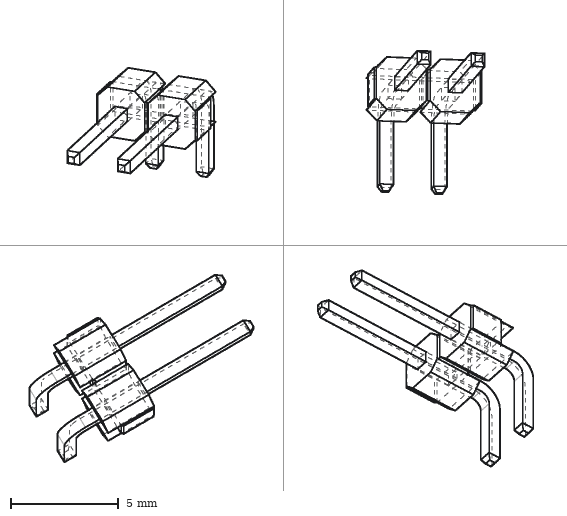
import cadquery as cq


pin_count = 2
pitch = 2.54
housing_size = 2.5
corner_chamfer = 0.5
joint_bevel = 0.085
rear_slot_depth = 0.7

pin_width = 0.64
tip_width = pin_width / 2
tip_length = 0.275
bend_inner_radius = 0.5
front_reach = 6.0
rear_reach = 1.85
drop = 3.0

half_size = housing_size / 2
half_pin = pin_width / 2
octagon_width = pitch - 2 * joint_bevel
waist_height = housing_size - 2 * corner_chamfer
waist_rear = half_size - rear_slot_depth

front_end = -half_size - front_reach
rear_end = half_size + rear_reach
bottom_end = -half_size - drop
leg_y = rear_end - half_pin

pin_positions = [(i - (pin_count - 1) / 2) * pitch for i in range(pin_count)]


def octagon_block(x):
    """Octagonal prism around one pin."""
    return (
        cq.Workplane("XY")
        .box(octagon_width, housing_size, housing_size)
        .edges("|Y")
        .chamfer(corner_chamfer)
        .translate((x, 0, 0))
    )


def waist_block(x):
    """Full-pitch block that joins a position to its neighbours, bevelled at its front and rear."""
    half_octagon = octagon_width / 2
    half_pitch = pitch / 2
    return (
        cq.Workplane("XY")
        .workplane(offset=-waist_height / 2)
        .moveTo(-half_octagon, -half_size)
        .lineTo(half_octagon, -half_size)
        .lineTo(half_pitch, -half_size + joint_bevel)
        .lineTo(half_pitch, waist_rear - joint_bevel)
        .lineTo(half_octagon, waist_rear)
        .lineTo(-half_octagon, waist_rear)
        .lineTo(-half_pitch, waist_rear - joint_bevel)
        .lineTo(-half_pitch, -half_size + joint_bevel)
        .close()
        .extrude(waist_height)
        .translate((x, 0, 0))
    )


def rear_slot():
    """Slot across the whole rear face, as high as the waist."""
    return (
        cq.Workplane("XY")
        .box(pin_count * pitch, rear_slot_depth, waist_height)
        .translate((0, half_size - rear_slot_depth / 2, 0))
    )


def pin_hole(x):
    """Square through hole that the pin fills."""
    return cq.Workplane("XY").box(pin_width, housing_size, pin_width).translate((x, 0, 0))


def make_housing():
    body = octagon_block(pin_positions[0])
    for x in pin_positions[1:]:
        body = body.union(octagon_block(x))
    body = body.cut(rear_slot())
    for x in pin_positions:
        body = body.union(waist_block(x))
    for x in pin_positions:
        body = body.cut(pin_hole(x))
    return body


def tapered_tip(plane):
    """Truncated pyramid that grows from the end of a pin along the plane normal."""
    return (
        cq.Workplane(plane)
        .rect(pin_width, pin_width)
        .workplane(offset=tip_length)
        .rect(tip_width, tip_width)
        .loft(ruled=True)
    )


def make_pin(x):
    """Square wire running along Y, bent down at the rear, with a tapered tip at each end."""
    bend_radius = bend_inner_radius + half_pin
    shank_start = front_end + tip_length
    leg_end = bottom_end + tip_length
    path = (
        cq.Workplane("YZ", origin=(x, 0, 0))
        .moveTo(shank_start, 0)
        .lineTo(leg_y - bend_radius, 0)
        .radiusArc((leg_y, -bend_radius), bend_radius)
        .lineTo(leg_y, leg_end)
    )
    wire = cq.Workplane("XZ", origin=(x, shank_start, 0)).rect(pin_width, pin_width).sweep(path)
    front_tip = tapered_tip(cq.Plane(origin=(x, shank_start, 0), xDir=(1, 0, 0), normal=(0, -1, 0)))
    leg_tip = tapered_tip(cq.Plane(origin=(x, leg_y, leg_end), xDir=(1, 0, 0), normal=(0, 0, -1)))
    return wire.union(front_tip).union(leg_tip)


housing = make_housing()
pins = [make_pin(x) for x in pin_positions]

result = cq.Compound.makeCompound([housing.solids().val(), *[pin.solids().val() for pin in pins]])